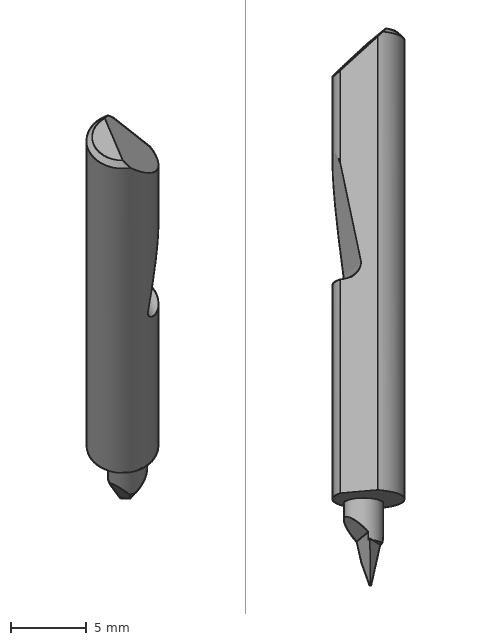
import cadquery as cq
import math

total_length = 37.75
shank_radius = 2.38
shank_bottom = 6.05
end_chamfer = 0.38

side_flat_distance = 2.0
side_flat_angle = 144
end_bevel_start_y = -0.6

notch_top_z = 29.5
notch_floor_y = 1.05
notch_floor_z = 21.7
notch_radius = 1.05

neck_radius = 1.302
neck_x = shank_radius - neck_radius
relief_z = 3.75

rake_y = 0.08
head_top_z = 3.2
tip_left_x = -0.66
tip_right_x = -0.45
head_left_top_x = -0.53
heel_x = 1.4
heel_z = 2.1
heel_top_z = 3.78
flank_angle = 41
clearance_lean = 1.55
nose_lean = 3.3
nose_root_z = -0.55

cut_size = 3 * total_length


def beyond_plane(origin, normal):
    """Large block filling the side of a plane that its normal points to."""
    plane = cq.Plane(origin=origin, normal=normal)
    return cq.Workplane(plane).rect(cut_size, cut_size).extrude(cut_size)


def make_shank():
    shank = (
        cq.Workplane("XY").workplane(offset=shank_bottom)
        .circle(shank_radius).extrude(total_length - shank_bottom)
        .faces(">Z").chamfer(end_chamfer)
    )
    angle = math.radians(side_flat_angle)
    flat_normal = (math.cos(angle), math.sin(angle), 0)
    flat_origin = (side_flat_distance * flat_normal[0], side_flat_distance * flat_normal[1], 0)
    shank = shank.cut(beyond_plane(flat_origin, flat_normal))
    shank = shank.cut(beyond_plane((0, end_bevel_start_y, total_length), (0, 1, 1)))
    return shank.cut(make_notch())


def make_notch():
    """Clamping notch: sloping floor ending in a rounded shoulder."""
    arc_end_y = notch_floor_y + notch_radius
    shoulder_z = notch_floor_z - notch_radius
    diagonal = notch_radius * math.sqrt(0.5)
    outside_y = 2 * shank_radius
    return (
        cq.Workplane("YZ").moveTo(shank_radius, notch_top_z)
        .lineTo(notch_floor_y, notch_floor_z)
        .threePointArc((arc_end_y - diagonal, notch_floor_z - diagonal), (arc_end_y, shoulder_z))
        .lineTo(outside_y, shoulder_z).lineTo(outside_y, notch_top_z).close()
        .extrude(shank_radius * 2, both=True)
    )


def make_neck():
    neck = cq.Workplane("XY").center(neck_x, 0).circle(neck_radius).extrude(shank_bottom)
    relief = beyond_plane((0, rake_y, relief_z), (0, 1, -1))
    behind_rake = beyond_plane((0, rake_y, 0), (0, 1, 0))
    return neck.cut(relief.intersect(behind_rake))


def make_head():
    """Block in front of the rake face that carries the cutting tip."""
    return (
        cq.Workplane("XZ", origin=(0, rake_y, 0))
        .polyline([
            (tip_left_x, 0), (neck_x, 0), (neck_x, head_top_z), (head_left_top_x, head_top_z),
        ]).close().extrude(neck_radius)
    )


def grind_tip(body):
    """Grind the side flank, front clearance, nose and heel faces."""
    angle = math.radians(flank_angle)
    tilt = (head_left_top_x - tip_left_x) / head_top_z
    flank_normal = (-math.sin(angle), -math.cos(angle), tilt * math.sin(angle))
    flank = beyond_plane((tip_left_x, rake_y, 0), flank_normal)
    body = body.cut(flank.intersect(beyond_plane((0, 0, head_top_z), (0, 0, -1))))

    edge_slope = heel_z / (heel_x - tip_right_x)
    body = body.cut(beyond_plane((tip_right_x, rake_y, 0), (edge_slope, -clearance_lean, -1)))
    body = body.cut(beyond_plane((0, rake_y, nose_root_z), (0, -nose_lean, -1)))

    heel_slope = (heel_top_z - heel_z) / (shank_radius - heel_x)
    return body.cut(beyond_plane((heel_x, rake_y, heel_z), (heel_slope, 0, -1)))


cutter = grind_tip(make_neck().union(make_head()))
result = make_shank().union(cutter)